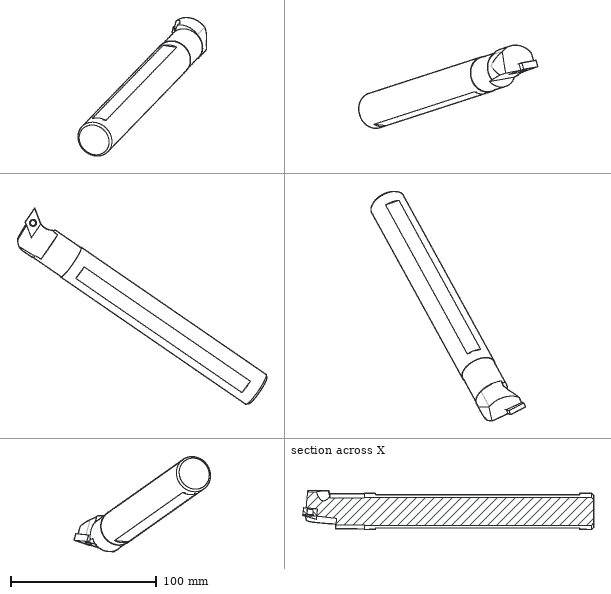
import cadquery as cq
import math


shank_diameter = 25.0
shank_length = 158.0
rear_chamfer = 1.5
flat_width = 10.0
flat_start = 9.8
flat_end = 150.3

neck_diameter = 24.3
head_start = 181.8
head_radius = 14.4
shoulder_angle = 17.0
nose_round_radius = 14.0
nose_round_start = 187.0

tip_y = 200.49
tip_x = -16.98
insert_edge = 11.6
insert_angle = 55.0
insert_thickness = 4.76
insert_hole_diameter = 3.8
insert_recess_diameter = 4.81
insert_recess_depth = 1.0

rake_slope_x = 0.25
rake_slope_y = 0.115

front_setback = 1.2
front_angle = 3.0
side_setback = 0.3
throat_radius = 10.6
throat_start = 8.9
chip_pocket_length = 23.3

reach = 60.0

shank_radius = shank_diameter / 2
neck_radius = neck_diameter / 2
head_center_x = tip_x + head_radius
flat_height = math.sqrt(shank_radius**2 - (flat_width / 2) ** 2)

rake_frame = cq.Plane(
    origin=(tip_x, tip_y, 0),
    xDir=(1, 0, -rake_slope_x),
    normal=(rake_slope_x, -rake_slope_y, 1),
)


def rod(radius, start, end, center_x=0.0):
    """Cylinder along Y between two stations."""
    return (
        cq.Workplane("XZ", origin=(center_x, start, 0))
        .circle(radius)
        .extrude(start - end)
    )


def make_shank():
    """Chamfered shank with a long clamping flat on its top and bottom, and the thinner neck in front."""
    profile = [
        (0, 0),
        (shank_radius - rear_chamfer, 0),
        (shank_radius, rear_chamfer),
        (shank_radius, shank_length),
        (neck_radius, shank_length),
        (neck_radius, head_start),
        (0, head_start),
    ]
    shank = cq.Workplane("XY").polyline(profile).close().revolve(360, (0, 0, 0), (0, 1, 0))
    flat_length = flat_end - flat_start
    for side in (1, -1):
        flat_cutter = cq.Workplane("XY").box(shank_diameter, flat_length, shank_radius).translate(
            (0, (flat_start + flat_end) / 2, side * (flat_height + shank_radius / 2))
        )
        shank = shank.cut(flat_cutter)
    return shank


def make_head_blank():
    """Head outline of two overlapping circles, with a conical shoulder behind and a rounded +X side."""
    blank = rod(head_radius, shank_length, tip_y, head_center_x)
    blank = blank.union(rod(shank_radius, shank_length, tip_y))

    shoulder_rise = (reach - neck_radius) * math.tan(math.radians(shoulder_angle))
    shoulder = (
        cq.Workplane("XY")
        .polyline([
            (0, head_start),
            (neck_radius, head_start),
            (reach, head_start + shoulder_rise),
            (reach, tip_y + reach),
            (0, tip_y + reach),
        ])
        .close()
        .revolve(360, (0, 0, 0), (0, 1, 0))
    )
    blank = blank.intersect(shoulder)

    round_center_x = shank_radius - nose_round_radius
    plan = (
        cq.Workplane("XY", origin=(0, 0, -reach / 2))
        .moveTo(-reach, 0)
        .lineTo(shank_radius, 0)
        .lineTo(shank_radius, nose_round_start)
        .tangentArcPoint((round_center_x, nose_round_start + nose_round_radius), relative=False)
        .lineTo(-reach, nose_round_start + nose_round_radius)
        .close()
        .extrude(reach)
    )
    return blank.intersect(plan)


def make_front_cutter():
    """Everything ahead of the front face of the head."""
    drop = reach * math.tan(math.radians(front_angle))
    return (
        cq.Workplane(rake_frame)
        .polyline([
            (-reach, drop - front_setback),
            (reach, -drop - front_setback),
            (reach, reach),
            (-reach, reach),
        ])
        .close()
        .extrude(reach, both=True)
    )


def make_side_cutter():
    """Everything outside the side face of the head and the concave throat behind it."""
    angle = math.radians(insert_angle)
    along = (math.cos(angle), -math.sin(angle))
    inward = (math.sin(angle), math.cos(angle))

    def side_point(distance):
        return (
            along[0] * distance + inward[0] * side_setback,
            along[1] * distance + inward[1] * side_setback,
        )

    throat_front = side_point(throat_start)
    center = (throat_front[0] - inward[0] * throat_radius, throat_front[1] - inward[1] * throat_radius)
    throat_bottom = (center[0] + throat_radius, center[1])
    throat_back = (center[0], center[1] - throat_radius)
    return (
        cq.Workplane(rake_frame)
        .moveTo(*side_point(-reach))
        .lineTo(*throat_front)
        .threePointArc(throat_bottom, throat_back)
        .lineTo(-reach, throat_back[1])
        .close()
        .extrude(reach, both=True)
    )


def make_chip_pocket():
    """Clearance below the rake face, ending at a wall square to it."""
    return (
        cq.Workplane(rake_frame)
        .moveTo(-reach, -chip_pocket_length)
        .lineTo(reach, -chip_pocket_length)
        .lineTo(reach, reach)
        .lineTo(-reach, reach)
        .close()
        .extrude(-reach)
    )


def make_insert_plate():
    """Rhombic plate with its lower face on the rake face."""
    angle = math.radians(insert_angle)
    back_u = insert_edge * math.cos(angle)
    back_v = -insert_edge * math.sin(angle)
    return (
        cq.Workplane(rake_frame)
        .polyline([(0, 0), (insert_edge, 0), (insert_edge + back_u, back_v), (back_u, back_v)])
        .close()
        .extrude(insert_thickness)
    )


def make_insert():
    """Insert plate with its stepped screw hole in the middle."""
    angle = math.radians(insert_angle)
    center_u = insert_edge * (1 + math.cos(angle)) / 2
    center_v = -insert_edge * math.sin(angle) / 2
    centered = cq.Workplane(rake_frame).center(center_u, center_v)
    hole = centered.circle(insert_hole_diameter / 2).extrude(insert_thickness)
    recess = centered.circle(insert_recess_diameter / 2).extrude(insert_recess_depth)
    return make_insert_plate().cut(hole).cut(recess)


def make_holder():
    """Shank and head, cut to the tool shape, with a seat for the insert."""
    holder = make_shank().union(make_head_blank())
    holder = holder.cut(make_front_cutter())
    holder = holder.cut(make_side_cutter())
    holder = holder.cut(make_chip_pocket())
    return holder.cut(make_insert_plate())


holder = make_holder()
insert = make_insert()
result = cq.Compound.makeCompound([holder.val(), insert.val()])